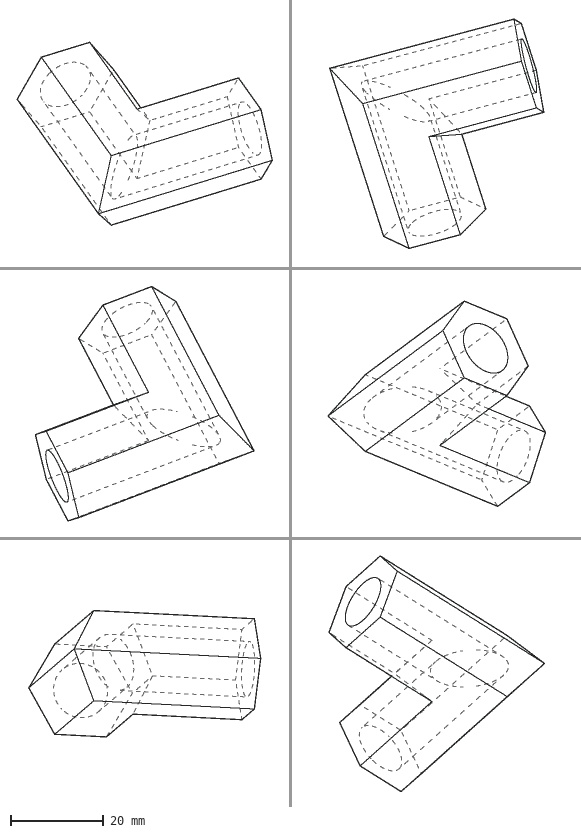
import cadquery as cq
import math

outer_length = 41.55
across_flats = 20.0
bore_diameter = 12.0

across_corners = across_flats / math.cos(math.radians(30))
axis_length = outer_length - across_corners / 2


def mitred_elbow(profile):
    """Sweep a profile in the YZ plane along +X, then around a sharp corner along +Y."""
    path = cq.Workplane("XY").polyline(
        [(-axis_length, 0), (0, 0), (0, axis_length)]
    )
    return profile.sweep(path, transition="right")


end_plane = cq.Workplane("YZ", origin=(-axis_length, 0, 0))

body = mitred_elbow(end_plane.polygon(6, across_corners))

bore = mitred_elbow(end_plane.circle(bore_diameter / 2))

result = body.cut(bore)